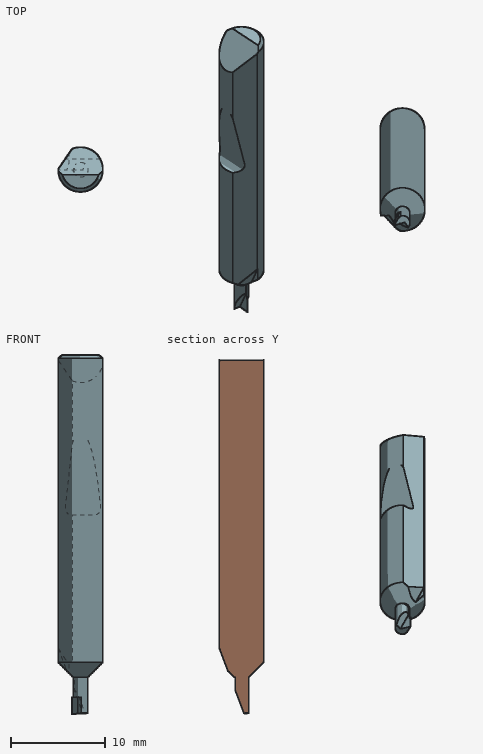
import cadquery as cq
import math

length = 38.1
shank_radius = 4.75 / 2
neck_radius = 1.55 / 2
cone_top = 5.52
neck_top = cone_top - (shank_radius - neck_radius)
top_chamfer = 0.4
clear = 7.62

flat_angle = 145.5
flat_distance = 2.0

bevel_start_y = -0.55

notch_top = 29.87
notch_radius = 0.85
notch_center_y = 2.0
notch_center_z = 22.0
notch_slope = math.radians(9.5)

gullet_upper = cq.Vector(-shank_radius, 0, 7.0)
gullet_back = cq.Vector(-1.3, 1.65, 5.37)
gullet_lower = cq.Vector(-1.5, 0, 4.65)

neck_shift = 0.1

pocket_top = 2.5

tooth_top = 1.83
cutting_edge_x = -0.9
flank_end = (-0.3, -0.6)
heel_end_x = 0.057
tip_clearance = 5.0


def build_blank():
    profile = [
        (0, 0), (neck_radius, 0), (neck_radius, neck_top), (shank_radius, cone_top),
        (shank_radius, length - top_chamfer), (shank_radius - top_chamfer, length), (0, length),
    ]
    return cq.Workplane("XZ").polyline(profile).close().revolve(360, (0, 0), (0, 1))


def side_flat():
    cutter = cq.Workplane("XY").box(clear, 2 * clear, length, centered=(False, True, False))
    return cutter.translate((flat_distance, 0, 0)).rotate((0, 0, 0), (0, 0, 1), flat_angle)


def yz_cutter(sketch):
    return sketch.close().extrude(clear, both=True)


def top_bevel():
    sketch = cq.Workplane("YZ").polyline([
        (bevel_start_y, length), (bevel_start_y + clear, length - clear), (bevel_start_y + clear, length),
    ])
    return yz_cutter(sketch)


def notch():
    """Shallow ramp that runs tangentially into a quarter-round lower end."""
    def arc_point(angle):
        return (
            notch_center_y - notch_radius * math.cos(angle),
            notch_center_z + notch_radius * math.sin(angle),
        )

    sketch = (
        cq.Workplane("YZ").moveTo(shank_radius, notch_top).lineTo(*arc_point(notch_slope))
        .threePointArc(arc_point(-math.pi / 4), arc_point(-math.pi / 2))
        .lineTo(shank_radius, notch_center_z - notch_radius)
    )
    return yz_cutter(sketch)


def back_half(cutter):
    keep = cq.Workplane("XY").box(2 * clear, clear, clear, centered=(True, False, False))
    return cutter.intersect(keep)


def gullet():
    normal = (gullet_back - gullet_upper).cross(gullet_lower - gullet_upper)
    if normal.x > 0:
        normal = -normal
    cutter = cq.Workplane(cq.Plane(gullet_upper, normal=normal)).rect(2 * clear, 2 * clear).extrude(clear)
    return back_half(cutter)


def neck_relief():
    block = cq.Workplane("XY").box(clear, clear, neck_top, centered=False).translate((neck_shift - clear, 0, 0))
    core = cq.Workplane("XY").center(neck_shift, 0).circle(neck_radius).extrude(neck_top)
    return block.cut(core)


def chip_pocket():
    """Steep wall facing the same way as the side flat, leaning out to the neck surface above."""
    profile = [(0, 0), (neck_radius, pocket_top), (neck_radius, 0)]
    cutter = cq.Workplane("XZ").polyline(profile).close().extrude(neck_radius * 2, both=True)
    return back_half(cutter.rotate((0, 0, 0), (0, 0, 1), flat_angle))


def tooth_relief():
    outside = -2 * neck_radius
    return cq.Workplane("XY").polyline([
        (cutting_edge_x, 0), flank_end, (heel_end_x, -neck_radius), (heel_end_x, outside),
        (outside, outside), (outside, 0),
    ]).close().extrude(tooth_top)


def tooth():
    return cq.Workplane("XY").polyline([
        (cutting_edge_x, 0), flank_end, (heel_end_x, -neck_radius), (heel_end_x, 0),
    ]).close().extrude(tooth_top)


def tip_relief():
    """Wedge under the tip that leaves the tooth corner as the lowest point."""
    slope = math.tan(math.radians(tip_clearance))
    plane = cq.Plane((cutting_edge_x, 0, 0), normal=(slope, -slope, -1))
    return cq.Workplane(plane).rect(clear, clear).extrude(clear)


result = build_blank()
cutters = (
    side_flat(), top_bevel(), notch(), gullet(), neck_relief(), chip_pocket(), tooth_relief(),
)
for cutter in cutters:
    result = result.cut(cutter)
result = result.union(tooth())
result = result.cut(tip_relief())